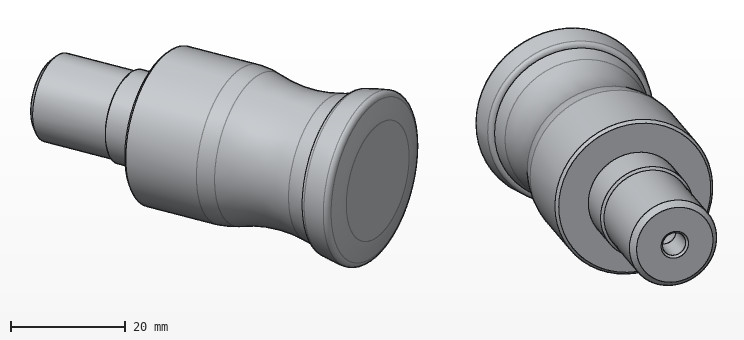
import cadquery as cq
import math

length = 66.0

pin_radius = 8.0
pin_chamfer = 1.0
pin_end_x = 16.0
collar_radius = 8.5
collar_chamfer = 0.3

body_start_x = 23.05
body_radius = 14.45
body_chamfer = 0.5
shoulder_start_x = 37.8

waist_x = 49.5
waist_radius = 12.6
shoulder_arc_radius = 10.9
flare_start_x = 55.8

rim_start_x = 59.2
rim_corner_x = 60.0
rim_corner_radius = 15.2
rim_bend_x = 59.4
rim_bend_radius = 14.85
rim_crown_x = 62.4
rim_crown_radius = 15.74
rim_edge_x = 64.95
rim_edge_radius = 15.65
rim_peak_x = 64.3
rim_radius = 15.94
dome_edge_x = 65.3
dome_edge_radius = 14.9
flat_radius = 10.9
dome_mid_x = 65.8
dome_mid_radius = 12.9

hole_radius = 2.1
hole_mouth_radius = 2.5
hole_depth = 5.95
drill_tip_angle = 118.0


def waist_profile_values():
    """Return the throat arc radius and the slope angle where the shoulder meets it."""
    drop = body_radius - waist_radius
    run = waist_x - shoulder_start_x
    angle = 2 * math.atan(drop / run)
    throat = run / math.sin(angle) - shoulder_arc_radius
    return throat, angle


def make_turned_body():
    throat, angle = waist_profile_values()

    def shoulder_point(a):
        return (
            shoulder_start_x + shoulder_arc_radius * math.sin(a),
            body_radius - shoulder_arc_radius * (1 - math.cos(a)),
        )

    flare_angle = math.asin((flare_start_x - waist_x) / throat)
    flare_start_radius = waist_radius + throat * (1 - math.cos(flare_angle))
    flare_end_radius = flare_start_radius + (rim_start_x - flare_start_x) * math.tan(flare_angle)

    profile = (
        cq.Workplane("XY")
        .moveTo(0, 0)
        .lineTo(0, pin_radius - pin_chamfer)
        .lineTo(pin_chamfer, pin_radius)
        .lineTo(pin_end_x - collar_chamfer, pin_radius)
        .lineTo(pin_end_x, collar_radius)
        .lineTo(body_start_x, collar_radius)
        .lineTo(body_start_x, body_radius - body_chamfer)
        .lineTo(body_start_x + body_chamfer, body_radius)
        .lineTo(shoulder_start_x, body_radius)
        .threePointArc(shoulder_point(angle / 2), shoulder_point(angle))
        .threePointArc((waist_x, waist_radius), (flare_start_x, flare_start_radius))
        .lineTo(rim_start_x, flare_end_radius)
        .threePointArc((rim_bend_x, rim_bend_radius), (rim_corner_x, rim_corner_radius))
        .threePointArc((rim_crown_x, rim_crown_radius), (rim_peak_x, rim_radius))
        .threePointArc((rim_edge_x, rim_edge_radius), (dome_edge_x, dome_edge_radius))
        .threePointArc((dome_mid_x, dome_mid_radius), (length, flat_radius))
        .lineTo(length, 0)
        .close()
    )
    return profile.revolve(360, (0, 0, 0), (1, 0, 0))


def make_centre_hole():
    mouth_depth = hole_mouth_radius - hole_radius
    tip_length = hole_radius / math.tan(math.radians(drill_tip_angle / 2))
    return (
        cq.Workplane("XY")
        .polyline([
            (0, 0),
            (0, hole_mouth_radius),
            (mouth_depth, hole_radius),
            (hole_depth, hole_radius),
            (hole_depth + tip_length, 0),
        ])
        .close()
        .revolve(360, (0, 0, 0), (1, 0, 0))
    )


result = make_turned_body().cut(make_centre_hole())